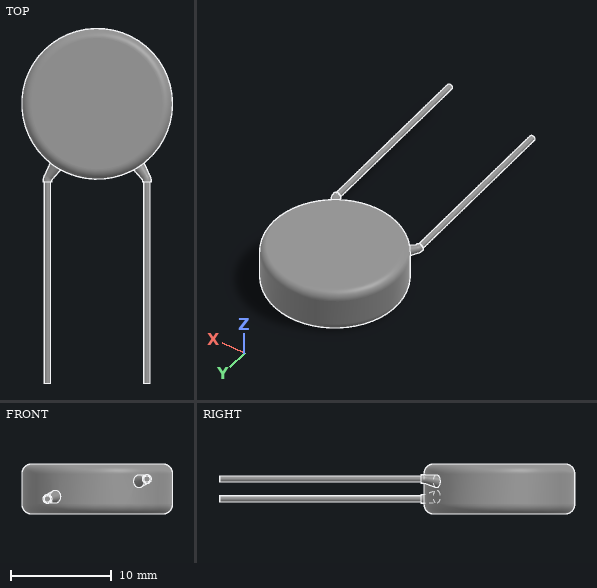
import cadquery as cq
import math

disc_diameter = 15.0
disc_height = 5.0
disc_edge_radius = 1.0
disc_radius = disc_diameter / 2

total_length = 35.28
lead_diameter = 0.65
lead_offset_x = 4.95
lead_offset_z = 1.0
lead_start_y = -7.75
lead_end_y = disc_radius - total_length

collar_end_diameter = 0.88
collar_rim_diameter = 1.25
collar_bend_angle = 34
collar_bend_radius = 0.7
collar_tip_length = 0.1
collar_lean_angle = 15
cone_visible_length = 1.15
cone_buried_length = 0.7


def make_disc():
    """Flat round body with both rims rounded."""
    return (
        cq.Workplane("XY")
        .cylinder(disc_height, disc_radius)
        .faces("|Z")
        .edges()
        .fillet(disc_edge_radius)
    )


def make_collar():
    """Collar of the right-hand, upper lead: a straight tip, a tangent elbow and a cone."""
    lean = math.radians(collar_lean_angle)
    bend = math.radians(collar_bend_angle)
    inward = cq.Vector(-math.cos(lean), 0, -math.sin(lean))
    backward = cq.Vector(0, 1, 0)
    lead_start = cq.Vector(lead_offset_x, lead_start_y, lead_offset_z)
    bend_start = lead_start + backward * collar_tip_length

    def bend_point(angle):
        sideways = inward * (collar_bend_radius * (1 - math.cos(angle)))
        return bend_start + sideways + backward * (collar_bend_radius * math.sin(angle))

    path = cq.Edge.makeThreePointArc(bend_start, bend_point(bend / 2), bend_point(bend))
    tip = (
        cq.Workplane(cq.Plane(origin=lead_start, normal=backward))
        .circle(collar_end_diameter / 2)
        .extrude(collar_tip_length)
    )
    elbow = (
        cq.Workplane(cq.Plane(origin=bend_start, normal=backward))
        .circle(collar_end_diameter / 2)
        .sweep(cq.Workplane(obj=path))
    )

    cone_axis = inward * math.sin(bend) + backward * math.cos(bend)
    cone_length = cone_visible_length + cone_buried_length
    taper = (collar_rim_diameter - collar_end_diameter) / cone_visible_length
    buried_diameter = collar_end_diameter + taper * cone_length
    cone = cq.Solid.makeCone(
        collar_end_diameter / 2,
        buried_diameter / 2,
        cone_length,
        pnt=bend_point(bend),
        dir=cone_axis,
    )
    return tip.union(elbow).union(cq.Workplane(obj=cone))


def make_lead():
    """Straight wire of the right-hand, upper lead, butting against its collar."""
    return (
        cq.Workplane("XZ", origin=(lead_offset_x, lead_start_y, lead_offset_z))
        .circle(lead_diameter / 2)
        .extrude(lead_start_y - lead_end_y)
    )


def place(part, turn):
    """Turn a right-hand part about the Y axis."""
    return part.rotate((0, 0, 0), (0, 1, 0), turn)


side_turns = (0, 180)

housing = make_disc()
for turn in side_turns:
    housing = housing.union(place(make_collar(), turn))

leads = [place(make_lead(), turn).val() for turn in side_turns]

result = cq.Compound.makeCompound([housing.solids().val(), *leads])